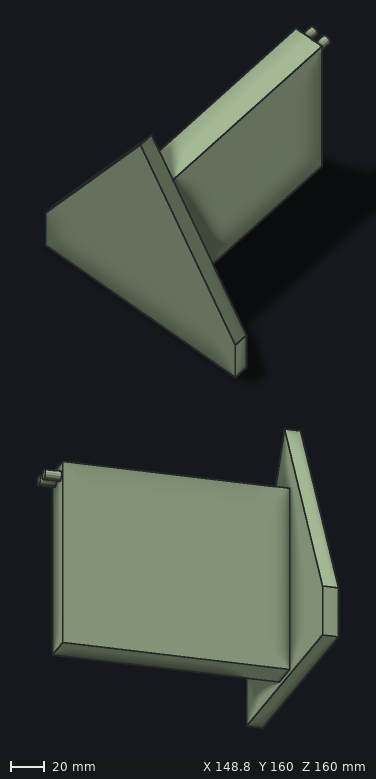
import cadquery as cq
import math

overall_depth = 160.0
plate_height = 160.0
plate_width = 148.8

roof_angle = math.radians(60)
web_length = 140.0
plate_thickness = (overall_depth - web_length) / 2
peg_length = overall_depth - web_length - plate_thickness
web_width = 20.5
web_height = 115.2
web_bottom = 3.0
peg_diameter = 6.0
peg_spacing = 10.0
peg_drop = 7.5

shoulder_height = plate_height - plate_width / 2 * math.tan(roof_angle)
web_back = plate_thickness + web_length
peg_height = web_bottom + web_height - peg_drop


def make_plate():
    """Upright plate with vertical lower sides and a pointed top."""
    half_width = plate_width / 2
    outline = [
        (-half_width, 0),
        (half_width, 0),
        (half_width, shoulder_height),
        (0, plate_height),
        (-half_width, shoulder_height),
    ]
    return cq.Workplane("XZ").polyline(outline).close().extrude(-plate_thickness)


def make_web():
    """Rectangular block standing out from the back of the plate."""
    return (
        cq.Workplane("XY")
        .box(web_width, web_length, web_height, centered=(True, False, False))
        .translate((0, plate_thickness, web_bottom))
    )


def make_pegs():
    """Pair of round pegs side by side near the top of the web's rear face."""
    return (
        cq.Workplane("XZ", origin=(0, web_back, 0))
        .pushPoints([(side * peg_spacing / 2, peg_height) for side in (-1, 1)])
        .circle(peg_diameter / 2)
        .extrude(-peg_length)
    )


result = make_plate().union(make_web()).union(make_pegs())